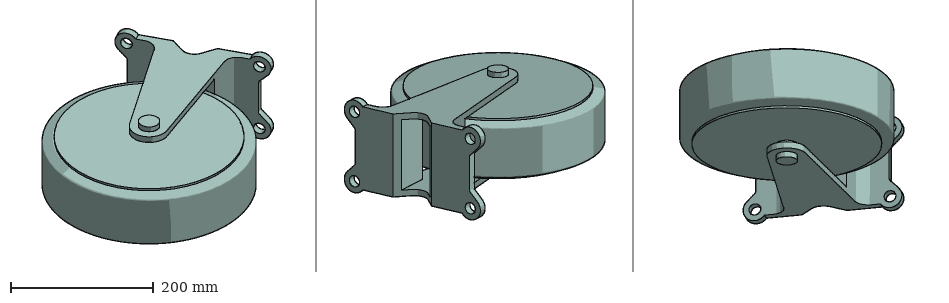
import cadquery as cq
import math

wheel_radius = 150.0
wheel_half_width = 45.0
rim_edge_height = 37.2
rim_edge_fillet = 3.3
hub_shoulder_radius = 134.7
hub_shoulder_height = 41.5
hub_radius = 133.0

axle_radius = 15.0
axle_length = 140.0

arm_outer_height = 62.0
arm_inner_height = 52.5
arm_end_radius = 27.7
arm_taper = math.radians(7.2)
web_front = 153.0
web_fillet = 20.0

overall_length = 365.0
plate_back = overall_length - wheel_radius
plate_thickness = 12.0
plate_front = plate_back - plate_thickness
lug_radius = 17.0
lug_x = 97.5
lug_z = 52.0
bolt_hole_radius = 8.5
plate_half_width = 96.5
plate_edge_fillet = 3.0

notch_half_width = 32.5
notch_fillet = 19.7
window_half_width = 24.0


def make_wheel():
    """Solid disc with sloping rim shoulders and a raised hub face on each side."""
    upper = [
        (wheel_radius, rim_edge_height),
        (hub_shoulder_radius, hub_shoulder_height),
        (hub_radius, hub_shoulder_height),
        (hub_radius, wheel_half_width),
        (0, wheel_half_width),
    ]
    lower = [(radius, -height) for radius, height in reversed(upper)]
    wheel = cq.Workplane("XZ").polyline(lower + upper).close().revolve(360, (0, 0, 0), (0, 1, 0))
    rim_edges = cq.selectors.RadiusNthSelector(-1)
    return wheel.edges(rim_edges).fillet(rim_edge_fillet)


def make_fork():
    """Tapered arms joined by a web that flares out to the mounting plate."""
    tangent_x = arm_end_radius * math.cos(arm_taper)
    tangent_y = -arm_end_radius * math.sin(arm_taper)
    root_x = tangent_x + (plate_front - tangent_y) * math.tan(arm_taper)
    fork = (
        cq.Workplane("XY")
        .workplane(offset=-arm_outer_height)
        .moveTo(-tangent_x, tangent_y)
        .threePointArc((0, -arm_end_radius), (tangent_x, tangent_y))
        .lineTo(root_x, plate_front)
        .lineTo(lug_x - lug_radius, plate_front)
        .lineTo(lug_x - lug_radius, plate_back)
        .lineTo(lug_radius - lug_x, plate_back)
        .lineTo(lug_radius - lug_x, plate_front)
        .lineTo(-root_x, plate_front)
        .close()
        .extrude(2 * arm_outer_height)
    )
    root_edges = cq.selectors.BoxSelector(
        (-root_x - 3.5, plate_front - 3.5, -arm_outer_height),
        (root_x + 3.5, plate_front + 3.5, arm_outer_height),
    )
    fork = fork.edges("|Z").edges(root_edges).fillet(web_fillet)
    wheel_gap_length = web_front + wheel_radius
    wheel_gap = cq.Workplane("XY").box(2 * wheel_radius, wheel_gap_length, 2 * arm_inner_height)
    return fork.cut(wheel_gap.translate((0, web_front - wheel_gap_length / 2, 0)))


def make_plate():
    """Mounting plate with a round lug at each corner and 45 degree blends to its sides."""
    diagonal = lug_radius * math.sqrt(0.5)
    tangent_x = lug_x + diagonal
    tangent_z = lug_z - diagonal
    side_z = tangent_z - (tangent_x - plate_half_width)
    blank = (
        cq.Workplane("XZ", origin=(0, plate_back, 0))
        .rect(2 * plate_half_width, 2 * side_z)
        .extrude(plate_thickness)
    )
    blends = (
        cq.Workplane("XZ", origin=(0, plate_back, 0))
        .polyline([
            (plate_half_width, side_z),
            (tangent_x, tangent_z),
            (lug_x, lug_z),
            (lug_x, arm_outer_height),
            (-lug_x, arm_outer_height),
            (-lug_x, lug_z),
            (-tangent_x, tangent_z),
            (-plate_half_width, side_z),
        ])
        .close()
        .extrude(plate_thickness)
    )
    plate = blank.union(blends).union(blends.mirror("XY"))
    for side in (-1, 1):
        for level in (-1, 1):
            corner = cq.selectors.NearestToPointSelector(
                (side * plate_half_width, plate_back - plate_thickness / 2, level * side_z)
            )
            plate = plate.edges("|Y").edges(corner).fillet(plate_edge_fillet)
    return plate.union(at_lugs(lug_radius))


def at_lugs(radius):
    """Cylinders through the plate thickness at the four lug centres."""
    return (
        cq.Workplane("XZ", origin=(0, plate_back, 0))
        .rect(2 * lug_x, 2 * lug_z, forConstruction=True)
        .vertices()
        .circle(radius)
        .extrude(plate_thickness)
    )


def make_notch():
    """Right-angled V with a rounded bottom, running the full height of the fork."""
    return (
        cq.Workplane("XY")
        .workplane(offset=-arm_outer_height)
        .moveTo(-notch_half_width, plate_back)
        .lineTo(0, plate_back - notch_half_width)
        .lineTo(notch_half_width, plate_back)
        .close()
        .extrude(2 * arm_outer_height)
        .edges("|Z and <Y")
        .fillet(notch_fillet)
    )


def make_window():
    """Rectangular opening through the web and plate, as tall as the gap between the arms."""
    depth = plate_back - web_front
    window = cq.Workplane("XY").box(2 * window_half_width, depth, 2 * arm_inner_height)
    return window.translate((0, web_front + depth / 2, 0))


bracket = make_fork().union(make_plate())
bracket = bracket.cut(make_notch()).cut(make_window()).cut(at_lugs(bolt_hole_radius))
axle = cq.Workplane("XY").circle(axle_radius).extrude(axle_length / 2, both=True)
result = bracket.union(axle).union(make_wheel())